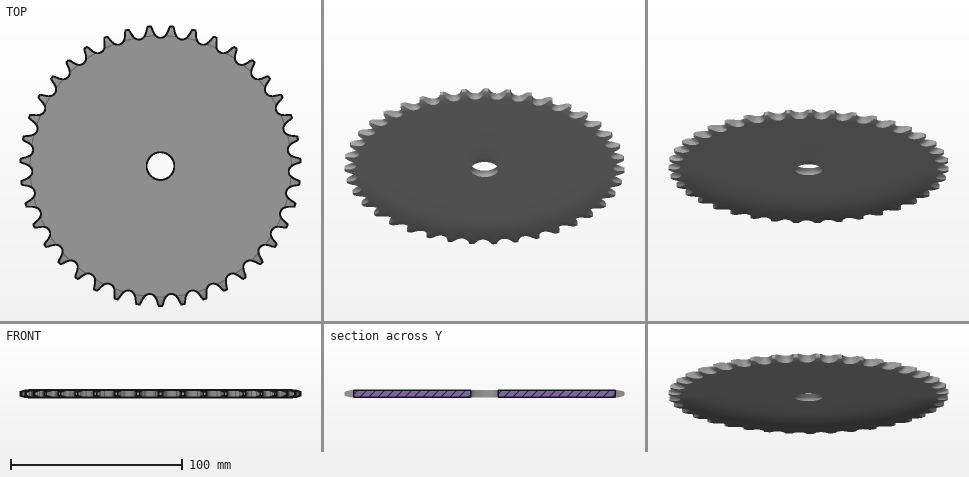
import cadquery as cq
import math

tooth_count = 39
tip_radius = 81.9
pitch_radius = 78.9
roller_diameter = 7.7
roller_clearance = 0.03
thickness = 4.5
bore_diameter = 16.0
bevel_start_radius = 76.3
tip_thickness = 2.1

pitch_angle = 360.0 / tooth_count
seat_half_angle = 55.0 - 60.0 / tooth_count
working_angle = 18.0 - 56.0 / tooth_count
topping_angle = 17.0 - 64.0 / tooth_count
seat_radius = 0.5025 * roller_diameter + roller_clearance
working_radius = 1.3025 * roller_diameter + roller_clearance
straight_length = roller_diameter * (
    1.4 * math.sin(math.radians(topping_angle)) - 0.8 * math.sin(math.radians(working_angle))
)
topping_radius = roller_diameter * (
    0.8 * math.cos(math.radians(working_angle))
    + 1.4 * math.cos(math.radians(topping_angle))
    - 1.3025
) - roller_clearance
first_gap_angle = 90.0


def polar(centre, radius, angle):
    """Point at a radius and an angle in degrees from a centre."""
    a = math.radians(angle)
    return (centre[0] + radius * math.cos(a), centre[1] + radius * math.sin(a))


def gap_flank():
    """Points up the +Y flank of a tooth gap centred on +X.

    In order: seat end, working curve middle and end, straight end,
    topping curve middle, tip corner.
    """
    pitch_point = (pitch_radius, 0.0)

    seat_normal = 180.0 - seat_half_angle
    flank_normal = seat_normal - working_angle

    seat_end = polar(pitch_point, seat_radius, seat_normal)
    working_centre = polar(pitch_point, seat_radius - working_radius, seat_normal)
    working_middle = polar(working_centre, working_radius, (seat_normal + flank_normal) / 2)
    working_end = polar(working_centre, working_radius, flank_normal)
    straight_end = polar(working_end, straight_length, flank_normal - 90.0)

    topping_centre = polar(straight_end, topping_radius, flank_normal)
    centre_distance = math.hypot(*topping_centre)
    reach = (centre_distance**2 + tip_radius**2 - topping_radius**2) / (2 * centre_distance)
    centre_angle = math.atan2(topping_centre[1], topping_centre[0])
    corner_angle = math.degrees(centre_angle - math.acos(reach / tip_radius))
    tip_corner = polar((0.0, 0.0), tip_radius, corner_angle)

    start_angle = flank_normal - 180.0
    corner_dx = tip_corner[0] - topping_centre[0]
    corner_dy = tip_corner[1] - topping_centre[1]
    end_angle = math.degrees(math.atan2(corner_dy, corner_dx))
    topping_middle = polar(topping_centre, topping_radius, (start_angle + end_angle) / 2)
    return seat_end, working_middle, working_end, straight_end, topping_middle, tip_corner


def turned(point, angle, side=1):
    """Rotate a point about the sprocket axis by degrees; side -1 first mirrors it to the other flank."""
    x, y = point[0], side * point[1]
    c = math.cos(math.radians(angle))
    s = math.sin(math.radians(angle))
    return (x * c - y * s, x * s + y * c)


def toothed_plate():
    """Flat plate with the full tooth outline, centred on the XY plane."""
    seat_end, working_middle, working_end, straight_end, topping_middle, tip_corner = gap_flank()
    seat_bottom = (pitch_radius - seat_radius, 0.0)
    tip_middle = (tip_radius, 0.0)

    outline = cq.Workplane("XY").moveTo(*turned(tip_corner, first_gap_angle, -1))
    for i in range(tooth_count):
        gap = first_gap_angle + i * pitch_angle
        outline = (
            outline
            .threePointArc(turned(topping_middle, gap, -1), turned(straight_end, gap, -1))
            .lineTo(*turned(working_end, gap, -1))
            .threePointArc(turned(working_middle, gap, -1), turned(seat_end, gap, -1))
            .threePointArc(turned(seat_bottom, gap), turned(seat_end, gap))
            .threePointArc(turned(working_middle, gap), turned(working_end, gap))
            .lineTo(*turned(straight_end, gap))
            .threePointArc(turned(topping_middle, gap), turned(tip_corner, gap))
            .threePointArc(
                turned(tip_middle, gap + pitch_angle / 2),
                turned(tip_corner, gap + pitch_angle, -1),
            )
        )
    return outline.close().extrude(thickness / 2, both=True)


def bevel_envelope():
    """Revolved disc whose rim is thinned toward the tips by arcs tangent to both faces."""
    half = thickness / 2
    half_tip = tip_thickness / 2
    length = tip_radius - bevel_start_radius
    drop = half - half_tip
    rounding = (length**2 + drop**2) / (2 * drop)
    middle_turn = math.asin(length / rounding) / 2
    middle_r = bevel_start_radius + rounding * math.sin(middle_turn)
    middle_z = half - rounding * (1 - math.cos(middle_turn))
    return (
        cq.Workplane("XZ")
        .moveTo(0, -half)
        .lineTo(bevel_start_radius, -half)
        .threePointArc((middle_r, -middle_z), (tip_radius, -half_tip))
        .lineTo(tip_radius, half_tip)
        .threePointArc((middle_r, middle_z), (bevel_start_radius, half))
        .lineTo(0, half)
        .close()
        .revolve(360, (0, 0, 0), (0, 1, 0))
    )


def bore():
    """Through hole on the sprocket axis."""
    return cq.Workplane("XY").circle(bore_diameter / 2).extrude(thickness, both=True)


result = toothed_plate().intersect(bevel_envelope()).cut(bore())